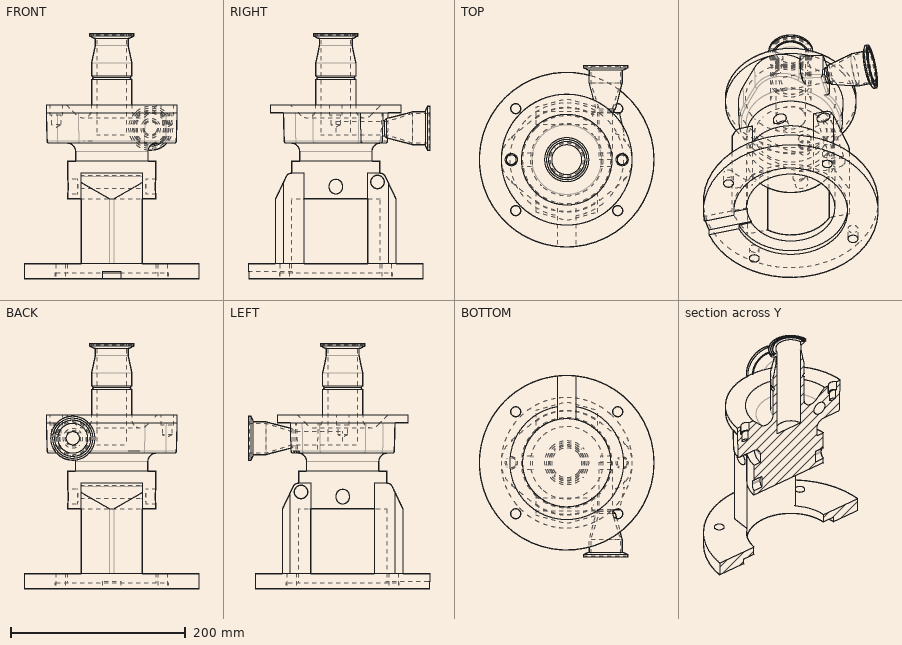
import cadquery as cq
import math

overall_depth = 208.0
base_radius = 200.0 / 2
base_thickness = 17.5
base_bore_radius = 50.5
register_radius = 65.0
register_depth = 6.5
base_hole_radius = 5.5
base_hole_offset = 58.5
drain_slot_width = 21.0
drain_slot_height = 8.5

leg_half_width = 35.0
leg_side_y = 60.0
leg_ridge_y = 69.0
leg_ridge_half_width = 2.5
leg_top = 121.0
leg_ridge_top = 91.5
leg_slope_angle = 64.4
leg_top_fillet = 6.7
leg_hole_radius = 7.5
leg_hole_y = 47.7
leg_hole_z = 110.8

housing_radius = 50.5
housing_bottom = 91.5
housing_top = 134.7
port_width = 15.2
port_height = 16.8
port_z = 105.5
port_floor_radius = 39.3
neck_radius = 41.5
neck_fillet = 9.5

casing_bottom = 155.2
casing_side_radius = 60.0
casing_end_radius = 34.2
casing_draft = 1.5
casing_bottom_fillet = 2.5

cover_radius = 75.0
cover_bottom = 190.0
cover_top = 199.0
dish_rim_radius = 52.0
dish_cone_radius = 39.8
bolt_offset = 63.5
bolt_clearance_radius = 7.0
bolt_clearance_depth = 11.2
bolt_drill_radius = 5.5
bolt_drill_depth = 22.5
drill_point_angle = 120

ferrule_radius = 25.3
ferrule_edge = 2.8
ferrule_back = 5.3
ferrule_back_radius = 20.5
pipe_radius = 38.0 / 2
pipe_bore_radius = 17.0
seal_groove_inner = 20.8
seal_groove_outer = 23.0
seal_groove_depth = 1.5

inlet_face = 280.5
inlet_cone_top = 266.9
inlet_cone_bottom = 247.0
inlet_radius = 46.3 / 2
weld_groove_top = 232.3
weld_groove_bottom = 227.8
weld_groove_depth = 2.2
inlet_bore_bottom = 164.5

outlet_x = 44.5
outlet_z = 172.3
outlet_face = overall_depth - base_radius
outlet_cone_start = 87.8
outlet_cone_end = 58.0
outlet_tip_radius = 11.2
outlet_neck_radius = 9.0
outlet_bore_radius = 7.5
outlet_bore_end = 0.0
spout_face = 54.2
spout_half_width = 15.7
spout_root = 28.0
spout_root_half_width = 21.3


def cylinder(radius, bottom, top):
    return cq.Workplane("XY").workplane(offset=bottom).circle(radius).extrude(top - bottom)


def revolve_about_z(points):
    """Turn a closed (radius, height) outline about the Z axis."""
    return cq.Workplane("XZ").polyline(points).close().revolve(360, (0, 0), (0, 1))


def ferrule_outline(face):
    """Outer outline of a clamp ferrule from its axis to the pipe behind it."""
    return [
        (0, face),
        (ferrule_radius, face),
        (ferrule_radius, face - ferrule_edge),
        (ferrule_back_radius, face - ferrule_back),
        (pipe_radius, face - ferrule_back),
    ]


def seal_groove(face):
    bottom = face - seal_groove_depth
    return cylinder(seal_groove_outer, bottom, face).cut(cylinder(seal_groove_inner, bottom, face))


def outlet_placed(body):
    """Lay a body built along +Z onto the outlet axis, pointing to +Y."""
    return body.rotate((0, 0, 0), (1, 0, 0), -90).translate((outlet_x, 0, outlet_z))


def base_flange():
    base = cylinder(base_radius, 0, base_thickness)
    return (
        base.faces(">Z")
        .workplane()
        .rect(2 * base_hole_offset, 2 * base_hole_offset, forConstruction=True)
        .vertices()
        .hole(2 * base_hole_radius)
    )


def leg():
    """One leg on the -Y side: pointed plan, with a sloped and rounded top."""
    plan = [
        (-leg_half_width, 0),
        (-leg_half_width, -leg_side_y),
        (-leg_ridge_half_width, -leg_ridge_y),
        (leg_ridge_half_width, -leg_ridge_y),
        (leg_half_width, -leg_side_y),
        (leg_half_width, 0),
    ]
    column = cq.Workplane("XY").polyline(plan).close().extrude(leg_top)
    slope_run = (leg_top - leg_ridge_top) / math.tan(math.radians(leg_slope_angle))
    top_edge_y = leg_ridge_y - slope_run
    side = [
        (0, 0),
        (-leg_ridge_y, 0),
        (-leg_ridge_y, leg_ridge_top),
        (-top_edge_y, leg_top),
        (0, leg_top),
    ]
    envelope = cq.Workplane("YZ").polyline(side).close().extrude(leg_half_width, both=True)
    top_edge = cq.selectors.NearestToPointSelector((0, -top_edge_y, leg_top))
    envelope = envelope.edges(top_edge).fillet(leg_top_fillet)
    return column.intersect(envelope)


def support():
    """Base flange and two legs, bored through along Z."""
    front_leg = leg()
    rear_leg = front_leg.mirror("XZ")
    body = base_flange().union(front_leg).union(rear_leg)
    body = body.cut(cylinder(base_bore_radius, 0, leg_top))
    body = body.cut(cylinder(register_radius, 0, register_depth))
    drain_slot = cq.Workplane("XY").box(
        drain_slot_width, base_radius, drain_slot_height, centered=(True, False, False)
    ).translate((0, -base_radius, 0))
    return body.cut(drain_slot)


def housing_and_neck():
    housing = cylinder(housing_radius, housing_bottom, housing_top)
    flare_radius = neck_radius + neck_fillet
    flare_start = casing_bottom - neck_fillet
    diagonal = neck_fillet * math.sqrt(0.5)
    neck = (
        cq.Workplane("XZ")
        .moveTo(0, housing_top)
        .lineTo(neck_radius, housing_top)
        .lineTo(neck_radius, flare_start)
        .threePointArc(
            (flare_radius - diagonal, flare_start + diagonal), (flare_radius, casing_bottom)
        )
        .lineTo(0, casing_bottom)
        .close()
        .revolve(360, (0, 0), (0, 1))
    )
    return housing.union(neck)


def spout():
    """Lobe on the +Y side of the casing that carries the outlet nozzle."""
    plan = [
        (outlet_x - spout_half_width, spout_face),
        (outlet_x + spout_half_width, spout_face),
        (outlet_x + spout_root_half_width, spout_root),
        (outlet_x - spout_root_half_width, spout_root),
    ]
    return (
        cq.Workplane("XY", origin=(0, 0, cover_bottom))
        .polyline(plan)
        .close()
        .extrude(casing_bottom - cover_bottom, taper=casing_draft)
    )


def casing():
    end_center = cover_radius - casing_end_radius
    normal_x = (casing_side_radius - casing_end_radius) / end_center
    normal_y = math.sqrt(1 - normal_x ** 2)
    side_x = casing_side_radius * normal_x
    side_y = casing_side_radius * normal_y
    end_x = end_center + casing_end_radius * normal_x
    end_y = casing_end_radius * normal_y
    body = (
        cq.Workplane("XY", origin=(0, 0, cover_bottom))
        .moveTo(-side_x, side_y)
        .threePointArc((0, casing_side_radius), (side_x, side_y))
        .lineTo(end_x, end_y)
        .threePointArc((cover_radius, 0), (end_x, -end_y))
        .lineTo(side_x, -side_y)
        .threePointArc((0, -casing_side_radius), (-side_x, -side_y))
        .lineTo(-end_x, -end_y)
        .threePointArc((-cover_radius, 0), (-end_x, end_y))
        .close()
        .extrude(casing_bottom - cover_bottom, taper=casing_draft)
    )
    body = body.union(spout())
    return body.faces("<Z").edges().fillet(casing_bottom_fillet)


def dish():
    """Ring-shaped recess: a 45 degree cone running into a round trough beside the tube."""
    cone_bottom = cover_top - (dish_rim_radius - dish_cone_radius)
    trough_radius = (dish_cone_radius - inlet_radius) / (1 + math.sqrt(0.5))
    trough_center_r = inlet_radius + trough_radius
    trough_center_z = cone_bottom + trough_radius * math.sqrt(0.5)
    return (
        cq.Workplane("XZ")
        .moveTo(inlet_radius, cover_top)
        .lineTo(dish_rim_radius, cover_top)
        .lineTo(dish_cone_radius, cone_bottom)
        .threePointArc(
            (trough_center_r, trough_center_z - trough_radius), (inlet_radius, trough_center_z)
        )
        .close()
        .revolve(360, (0, 0), (0, 1))
    )


def bolt_hole():
    """Stepped blind hole with a conical drill point, on the Z axis."""
    step = cover_top - bolt_clearance_depth
    drill_end = cover_top - bolt_drill_depth
    point_end = drill_end - bolt_drill_radius / math.tan(math.radians(drill_point_angle / 2))
    return revolve_about_z([
        (0, cover_top),
        (bolt_clearance_radius, cover_top),
        (bolt_clearance_radius, step),
        (bolt_drill_radius, step),
        (bolt_drill_radius, drill_end),
        (0, point_end),
    ])


def inlet():
    groove_radius = inlet_radius - weld_groove_depth
    groove_middle = (weld_groove_top + weld_groove_bottom) / 2
    return revolve_about_z(ferrule_outline(inlet_face) + [
        (pipe_radius, inlet_cone_top),
        (inlet_radius, inlet_cone_bottom),
        (inlet_radius, weld_groove_top),
        (groove_radius, groove_middle),
        (inlet_radius, weld_groove_bottom),
        (inlet_radius, cover_bottom),
        (0, cover_bottom),
    ])


def outlet():
    chamfer = outlet_tip_radius - outlet_neck_radius
    nozzle = revolve_about_z(ferrule_outline(outlet_face) + [
        (pipe_radius, outlet_cone_start),
        (outlet_tip_radius, outlet_cone_end),
        (outlet_neck_radius, outlet_cone_end - chamfer),
        (outlet_neck_radius, spout_root),
        (0, spout_root),
    ])
    return outlet_placed(nozzle)


def outlet_bore():
    bore = revolve_about_z([
        (0, outlet_face),
        (pipe_bore_radius, outlet_face),
        (pipe_bore_radius, outlet_cone_start),
        (outlet_bore_radius, outlet_cone_end),
        (outlet_bore_radius, outlet_bore_end),
        (0, outlet_bore_end),
    ])
    return outlet_placed(bore.union(seal_groove(outlet_face)))


def leg_cross_hole():
    return (
        cq.Workplane("YZ")
        .center(leg_hole_y, leg_hole_z)
        .circle(leg_hole_radius)
        .extrude(housing_radius, both=True)
    )


def housing_ports():
    """Upright oblong recesses on the -X and +X sides, ending on a cylinder around Z."""
    slot_across = (
        cq.Workplane("YZ")
        .center(0, port_z)
        .slot2D(port_height, port_width, 90)
        .extrude(housing_radius, both=True)
    )
    return slot_across.cut(cylinder(port_floor_radius, housing_bottom, housing_top))


result = support().union(housing_and_neck()).union(casing())
result = result.union(cylinder(cover_radius, cover_bottom, cover_top))
result = result.cut(dish())
result = result.union(outlet()).union(inlet())

for side in (-1, 1):
    result = result.cut(bolt_hole().translate((side * bolt_offset, 0, 0)))

result = result.cut(cylinder(pipe_bore_radius, inlet_bore_bottom, inlet_face))
result = result.cut(seal_groove(inlet_face))
result = result.cut(outlet_bore())
result = result.cut(leg_cross_hole())
result = result.cut(housing_ports())